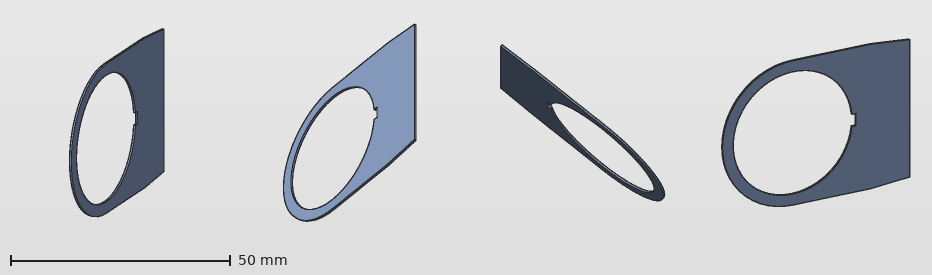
import cadquery as cq
import math

thickness = 0.5
outer_radius = 18.0
overall_length = 48.0
taper_length = 10.0
taper_angle = 5.0
hole_diameter = 30.5
notch_width = 3.0
notch_depth = 1.0

straight_end = overall_length - outer_radius
taper_start = straight_end - taper_length
end_half_width = outer_radius - taper_length * math.tan(math.radians(taper_angle))
hole_radius = hole_diameter / 2
notch_reach = hole_radius + notch_depth


def make_plate():
    """Flat tag: rounded at -Y, slightly tapered toward the straight +Y end."""
    return (
        cq.Workplane("YZ")
        .moveTo(0, outer_radius)
        .lineTo(taper_start, outer_radius)
        .lineTo(straight_end, end_half_width)
        .lineTo(straight_end, -end_half_width)
        .lineTo(taper_start, -outer_radius)
        .lineTo(0, -outer_radius)
        .threePointArc((-outer_radius, 0), (0, outer_radius))
        .close()
        .extrude(thickness / 2, both=True)
    )


def make_keyed_hole():
    """Cutter for the round hole with its locating notch on the +Y side."""
    hole = cq.Workplane("YZ").circle(hole_radius).extrude(thickness / 2, both=True)
    notch = (
        cq.Workplane("YZ")
        .center(notch_reach / 2, 0)
        .rect(notch_reach, notch_width)
        .extrude(thickness / 2, both=True)
    )
    return hole.union(notch)


result = make_plate().cut(make_keyed_hole())